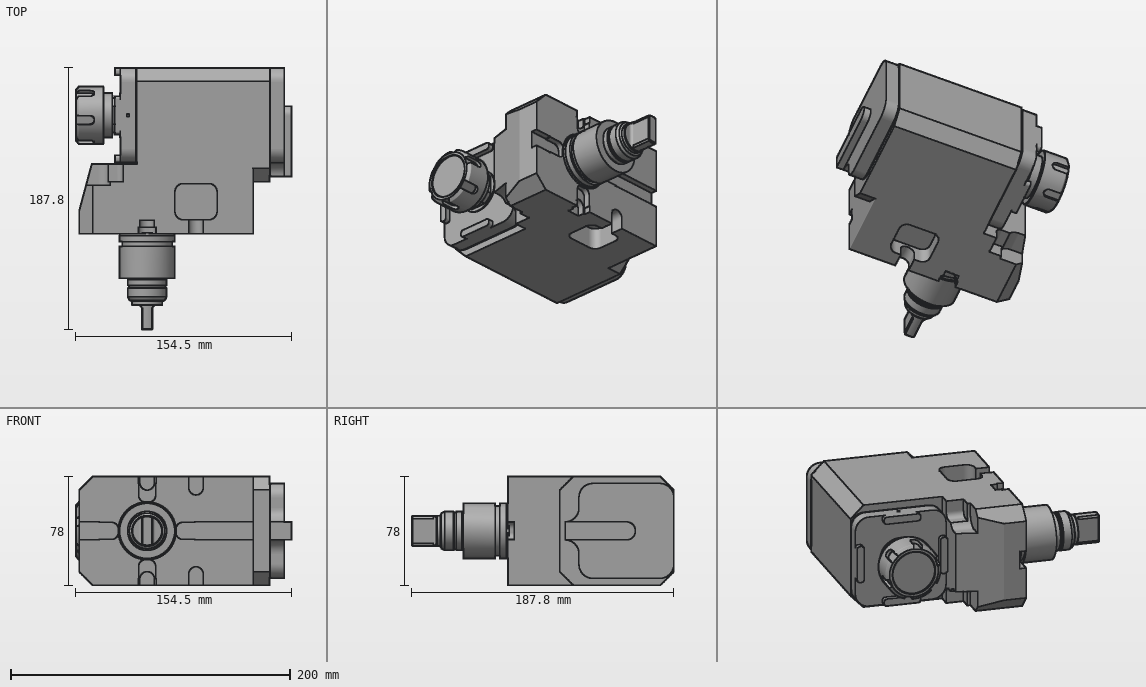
import cadquery as cq


TOTAL_LENGTH = 187.8
WIDTH = 78.0
HALF_WIDTH = WIDTH / 2
SPINDLE_Y = 85.0
COVER_SIDE = 68.0
HALF_COVER = COVER_SIDE / 2
BACK_Y = SPINDLE_Y + HALF_COVER
CORNER_CHAMFER = 9.7

BLOCK_LEFT = -48.7
BLOCK_RIGHT = 76.1
BLOCK_TOP_Y = 37.3
BLOCK_EDGE_FILLET = 0.5
SLANT_START_Y = 16.8
LEDGE_LEFT = -39.7
LEDGE_Y = 50.2

HOUSING_LEFT = -7.3
HOUSING_RIGHT = 87.7

RELIEF_Y = 35.0
RELIEF_FLOOR_Z = 22.2
RELIEF_WALL_X = -26.5
RELIEF_RADIUS = 8.4
STEP_FLOOR_Z = 26.2
STEP_WALL_X = -17.2
STEP_RADIUS = 4.5

KEY_SLOT_WIDTH = 13.0
KEY_SLOT_DEPTH = 4.8
KEY_SLOT_STEP = 34.2
KEY_SLOT_END = 20.7
KEY_SLOT_END_WIDTH = 12.2
KEY_SLOT_END_FILLET = 4.7

SCREW_SLOT_WIDTH = 10.4
SHANK_SLOT_DEPTH = 9.7
SHANK_SLOT_CENTER_Z = 34.4
POCKET_CENTER_X = 35.0
POCKET_LENGTH = 30.2
POCKET_START_Y = 10.1
POCKET_END_Y = 36.1
POCKET_FILLET = 6.0
POCKET_FLOOR_Z = 22.7
POCKET_SLOT_CENTER_Z = 30.9

COVER_FILLET = 10.0
NECK_INSET = 0.6
FRONT_COVER_LEFT = -19.1
FRONT_COVER_RIGHT = -8.3
REAR_COVER_LEFT = 88.3
REAR_COVER_RIGHT = 98.3
TAB_WIDTH = 13.0
TAB_RADIUS = TAB_WIDTH / 2
TAB_END_Y = 41.1
TAB_RIGHT = 103.53
PAD_LEFT = -23.2
PAD_LENGTH = 27.6
PAD_HEIGHT = 5.4
PAD_FILLET = 2.2
OIL_HOLE_DIAMETER = 2.1
OIL_HOLE_DEPTH = 5.0

NUT_LEFT = -51.0
NUT_RIGHT = -31.1
NUT_DIAMETER = 41.5
NUT_FACE_DIAMETER = 36.6
NUT_CONE_LENGTH = 2.0
NUT_CONE_FILLET = 0.6
NUT_BACK_CHAMFER = 0.5
NUT_MOUTH_DIAMETER = 32.34
NUT_BORE_DIAMETER = 31.45
NUT_RECESS_DEPTH = 0.5
NUT_SLOTS = 6
NUT_SLOT_ANGLE = 40.0
NUT_SLOT_WIDTH = 6.37
NUT_SLOT_END = -37.8
NUT_SLOT_FLOOR_DIAMETER = 36.0
SPINDLE_RING_DIAMETER = 32.0
SPINDLE_RING_RIGHT = -24.9
SPINDLE_DIAMETER = 28.0
SPINDLE_FLATS = 25.0
SPINDLE_FLATS_LEFT = -24.5
SEAL_DIAMETER = 31.45
SEAL_LEFT = -19.8

SHANK_DIAMETER = 39.8
SHANK_COLLAR_DIAMETER = 39.9
SHANK_UNDERCUT_DIAMETER = 39.5
SHANK_GROOVE_DIAMETER = 36.0
COLLAR_START = -1.2
GROOVE_START = -5.6
GROOVE_END = -9.0
SHANK_END = -31.8
SHANK_RECESS_DIAMETER = 41.5
SHANK_RECESS_DEPTH = 1.0
COUPLING_DIAMETER = 28.0
COUPLING_NECK_DIAMETER = 25.0
COUPLING_START = -32.8
SEAL_GROOVE_DIAMETER = 26.4
SEAL_GROOVE_START = -36.8
SEAL_GROOVE_END = -39.0
COUPLING_CONE_START = -45.2
COUPLING_CONE_END = -47.5
COUPLING_SHOULDER_END = -48.4
COUPLING_CONE_TIP_DIAMETER = 25.4
COUPLING_END = -51.2
COUPLING_EDGE_CHAMFER = 0.5
TONGUE_DIAMETER = 22.0
TONGUE_THICKNESS = 7.9
TONGUE_END = BACK_Y - TOTAL_LENGTH
TONGUE_CHAMFER = 0.8
TONGUE_FLAT_HALF_WIDTH = 8.8
TONGUE_BEVEL_DEPTH = 0.7
TONGUE_BEVEL_WIDTH = 1.7
TONGUE_ROOT_FILLET = 2.1


def box(x0, x1, y0, y1, z0, z1):
    """Axis-aligned box between opposite corners."""
    return cq.Workplane("XY").box(x1 - x0, y1 - y0, z1 - z0, centered=False).translate((x0, y0, z0))


def spindle_disc(x0, x1, diameter):
    """Cylinder on the spindle axis."""
    return cq.Workplane("YZ", origin=(x0, SPINDLE_Y, 0)).circle(diameter / 2).extrude(x1 - x0)


def both_sides(shape):
    """Shape together with its mirror image about the plane Z = 0."""
    return shape.union(shape.mirror("XY"))


def make_block():
    outline = [
        (BLOCK_LEFT, 0),
        (BLOCK_RIGHT, 0),
        (BLOCK_RIGHT, LEDGE_Y),
        (LEDGE_LEFT, LEDGE_Y),
        (BLOCK_LEFT, SLANT_START_Y),
    ]
    block = cq.Workplane("XY").polyline(outline).close().extrude(HALF_WIDTH, both=True)
    return block.cut(both_sides(make_block_corner())).cut(both_sides(make_ledge_relief()))


def make_block_corner():
    """Chamfer on the upper left edge of the block, below the relief."""
    corner = [
        (BLOCK_LEFT, HALF_WIDTH),
        (BLOCK_LEFT, HALF_WIDTH - CORNER_CHAMFER),
        (BLOCK_LEFT + CORNER_CHAMFER, HALF_WIDTH),
    ]
    return cq.Workplane("XZ").polyline(corner).close().extrude(-RELIEF_Y)


def make_relief_step(y0, floor_z, wall_x, radius):
    """Space above a floor that curves up into a wall facing -X."""
    step = (
        cq.Workplane("XZ", origin=(0, y0, 0))
        .moveTo(BLOCK_LEFT, floor_z)
        .lineTo(wall_x - radius, floor_z)
        .radiusArc((wall_x, floor_z + radius), -radius)
        .lineTo(wall_x, HALF_WIDTH)
        .lineTo(BLOCK_LEFT, HALF_WIDTH)
        .close()
    )
    return step.extrude(y0 - LEDGE_Y)


def make_ledge_relief():
    relief = make_relief_step(RELIEF_Y, RELIEF_FLOOR_Z, RELIEF_WALL_X, RELIEF_RADIUS)
    step = make_relief_step(BLOCK_TOP_Y, STEP_FLOOR_Z, STEP_WALL_X, STEP_RADIUS)
    return relief.union(step)


def make_housing():
    housing = box(HOUSING_LEFT, HOUSING_RIGHT, BLOCK_TOP_Y, BACK_Y, -HALF_WIDTH, HALF_WIDTH)
    housing = housing.edges("|X and >Y").chamfer(CORNER_CHAMFER)
    overhang_corner = [
        (BLOCK_TOP_Y, HALF_WIDTH),
        (BLOCK_TOP_Y, HALF_WIDTH - CORNER_CHAMFER),
        (BLOCK_TOP_Y + CORNER_CHAMFER, HALF_WIDTH),
    ]
    cutter = cq.Workplane("YZ", origin=(BLOCK_RIGHT, 0, 0)).polyline(overhang_corner).close()
    return housing.cut(both_sides(cutter.extrude(HOUSING_RIGHT - BLOCK_RIGHT)))


def make_key_slot():
    """Key slot running along +X, stepped in width, with a rounded end near the shank."""
    reach = BLOCK_RIGHT
    half = KEY_SLOT_WIDTH / 2
    half_end = KEY_SLOT_END_WIDTH / 2
    outer = box(KEY_SLOT_STEP, reach, 0, KEY_SLOT_DEPTH, -half, half)
    inner = box(KEY_SLOT_END, reach, 0, KEY_SLOT_DEPTH, -half_end, half_end)
    inner = inner.edges("|Y and <X").fillet(KEY_SLOT_END_FILLET)
    return outer.union(inner)


def make_screw_slot(x, center_z, depth):
    """Slot open towards +Z with a half-round floor, running along Y."""
    radius = SCREW_SLOT_WIDTH / 2
    slot = box(x - radius, x + radius, 0, depth, center_z, HALF_WIDTH)
    return slot.union(cq.Workplane("XZ", origin=(x, 0, center_z)).circle(radius).extrude(-depth))


def make_pocket():
    half = POCKET_LENGTH / 2
    left = POCKET_CENTER_X - half
    right = POCKET_CENTER_X + half
    pocket = box(left, right, POCKET_START_Y, POCKET_END_Y, POCKET_FLOOR_Z, HALF_WIDTH)
    pocket = pocket.edges("|Z").fillet(POCKET_FILLET)
    slot = make_screw_slot(POCKET_CENTER_X, POCKET_SLOT_CENTER_Z, POCKET_START_Y + POCKET_FILLET)
    return pocket.union(slot)


def make_shank_recess():
    """Shallow ring-shaped recess in the clamping face, around the foot of the shank."""
    ring = cq.Workplane("XZ").circle(SHANK_RECESS_DIAMETER / 2).circle(SHANK_UNDERCUT_DIAMETER / 2)
    return ring.extrude(-SHANK_RECESS_DEPTH)


def make_body():
    body = make_block().union(make_housing())
    for z in (-HALF_WIDTH, HALF_WIDTH):
        edge = cq.selectors.NearestToPointSelector((BLOCK_RIGHT, BLOCK_TOP_Y / 2, z))
        body = body.edges("|Y").edges(edge).fillet(BLOCK_EDGE_FILLET)
    for angle in range(0, 360, 90):
        body = body.cut(make_key_slot().rotate((0, 0, 0), (0, 1, 0), angle))
    shank_slot = make_screw_slot(0, SHANK_SLOT_CENTER_Z, SHANK_SLOT_DEPTH)
    body = body.cut(both_sides(shank_slot)).cut(both_sides(make_pocket()))
    return body.cut(make_shank_recess())


def make_cover_plate(x0, x1, inset=0.0):
    """Square plate with rounded corners, centred on the spindle axis."""
    side = COVER_SIDE - 2 * inset
    plate = cq.Workplane("YZ", origin=(x0, SPINDLE_Y, 0)).rect(side, side).extrude(x1 - x0)
    return plate.edges("|X").fillet(COVER_FILLET)


def make_pads():
    """Four raised pads, one along each edge of the front cover."""
    half = PAD_LENGTH / 2
    pads = None
    for angle in range(0, 360, 90):
        pad = box(PAD_LEFT, FRONT_COVER_LEFT, -half, half, HALF_COVER - PAD_HEIGHT, HALF_COVER)
        pad = pad.edges("|X").fillet(PAD_FILLET)
        pad = pad.rotate((0, 0, 0), (1, 0, 0), angle).translate((0, SPINDLE_Y, 0))
        pads = pad if pads is None else pads.union(pad)
    return pads


def make_front_cover():
    cover = make_cover_plate(FRONT_COVER_LEFT, FRONT_COVER_RIGHT)
    neck = make_cover_plate(FRONT_COVER_RIGHT, HOUSING_LEFT, NECK_INSET)
    hole_x = (FRONT_COVER_LEFT + FRONT_COVER_RIGHT) / 2
    hole = cq.Workplane("XY", origin=(hole_x, SPINDLE_Y, HALF_COVER))
    hole = hole.circle(OIL_HOLE_DIAMETER / 2).extrude(-OIL_HOLE_DEPTH)
    return cover.union(neck).union(make_pads()).cut(hole)


def make_stem(x0, x1, inset=0.0):
    """Extension of the rear cover towards -Y, blended into the plate by concave arcs."""
    half = TAB_RADIUS - inset
    end_y = TAB_END_Y + inset
    plate_y = SPINDLE_Y - HALF_COVER + inset
    blend = plate_y - end_y
    stem = (
        cq.Workplane("YZ", origin=(x0, 0, 0))
        .moveTo(end_y, -half)
        .radiusArc((plate_y, -half - blend), blend)
        .lineTo(plate_y, half + blend)
        .radiusArc((end_y, half), blend)
        .close()
    )
    return stem.extrude(x1 - x0)


def make_rear_cover():
    cover = make_cover_plate(REAR_COVER_LEFT, REAR_COVER_RIGHT)
    cover = cover.union(make_stem(REAR_COVER_LEFT, REAR_COVER_RIGHT))
    neck = make_cover_plate(HOUSING_RIGHT, REAR_COVER_LEFT, NECK_INSET)
    neck = neck.union(make_stem(HOUSING_RIGHT, REAR_COVER_LEFT, NECK_INSET))
    tab = box(REAR_COVER_RIGHT, TAB_RIGHT, TAB_END_Y, SPINDLE_Y, -TAB_RADIUS, TAB_RADIUS)
    tab = tab.union(spindle_disc(REAR_COVER_RIGHT, TAB_RIGHT, TAB_WIDTH))
    return cover.union(neck).union(tab)


def make_nut_slot():
    """Wrench slot at the +Y side of the nut, open towards the nut face."""
    radius = NUT_SLOT_WIDTH / 2
    center_x = NUT_SLOT_END - radius
    floor_y = NUT_SLOT_FLOOR_DIAMETER / 2
    outer_y = NUT_DIAMETER / 2
    slot = box(NUT_LEFT, center_x, floor_y, outer_y, -radius, radius)
    end = cq.Workplane("XZ", origin=(center_x, floor_y, 0)).circle(radius).extrude(floor_y - outer_y)
    return slot.union(end)


def make_nut():
    nut = spindle_disc(NUT_LEFT, NUT_RIGHT, NUT_DIAMETER)
    cone_depth = (NUT_DIAMETER - NUT_FACE_DIAMETER) / 2
    nut = nut.faces("<X").chamfer(NUT_CONE_LENGTH, cone_depth)
    cone_edge = cq.selectors.NearestToPointSelector((NUT_LEFT + NUT_CONE_LENGTH, SPINDLE_Y, 0))
    nut = nut.edges(cone_edge).fillet(NUT_CONE_FILLET)
    nut = nut.faces(">X").edges().chamfer(NUT_BACK_CHAMFER)
    mouth_chamfer = (NUT_MOUTH_DIAMETER - NUT_BORE_DIAMETER) / 2
    recess = spindle_disc(NUT_LEFT, NUT_LEFT + NUT_RECESS_DEPTH, NUT_MOUTH_DIAMETER)
    recess = recess.faces(">X").edges().chamfer(mouth_chamfer)
    nut = nut.cut(recess)
    for index in range(NUT_SLOTS):
        angle = NUT_SLOT_ANGLE + index * 360 / NUT_SLOTS
        slot = make_nut_slot().rotate((0, 0, 0), (1, 0, 0), angle)
        nut = nut.cut(slot.translate((0, SPINDLE_Y, 0)))
    return nut


def make_spindle():
    ring = spindle_disc(NUT_RIGHT, SPINDLE_RING_RIGHT, SPINDLE_RING_DIAMETER)
    shaft = spindle_disc(SPINDLE_RING_RIGHT, FRONT_COVER_LEFT, SPINDLE_DIAMETER)
    flats = cq.Workplane("YZ", origin=(SPINDLE_FLATS_LEFT, SPINDLE_Y, 0))
    flats = flats.rect(SPINDLE_FLATS, SPINDLE_FLATS).extrude(FRONT_COVER_LEFT - SPINDLE_FLATS_LEFT)
    collar = spindle_disc(SPINDLE_RING_RIGHT, SPINDLE_FLATS_LEFT, SPINDLE_DIAMETER)
    seal = spindle_disc(SEAL_LEFT, FRONT_COVER_LEFT, SEAL_DIAMETER)
    return ring.union(shaft.intersect(flats.union(collar))).union(seal)


def make_shank():
    """Stepped round shank turned about the Y axis."""
    undercut = SHANK_UNDERCUT_DIAMETER / 2
    collar = SHANK_COLLAR_DIAMETER / 2
    groove = SHANK_GROOVE_DIAMETER / 2
    shank = SHANK_DIAMETER / 2
    neck = COUPLING_NECK_DIAMETER / 2
    coupling = COUPLING_DIAMETER / 2
    seal_groove = SEAL_GROOVE_DIAMETER / 2
    seal_groove_depth = coupling - seal_groove
    cone_tip = COUPLING_CONE_TIP_DIAMETER / 2
    tongue = TONGUE_DIAMETER / 2
    profile = [
        (0, 0),
        (undercut, 0),
        (undercut, COLLAR_START),
        (collar, COLLAR_START),
        (collar, GROOVE_START),
        (groove, GROOVE_START),
        (groove, GROOVE_END),
        (shank, GROOVE_END),
        (shank, SHANK_END),
        (neck, SHANK_END),
        (neck, COUPLING_START),
        (coupling, COUPLING_START),
        (coupling, SEAL_GROOVE_START),
        (seal_groove, SEAL_GROOVE_START),
        (seal_groove, SEAL_GROOVE_END + seal_groove_depth),
        (coupling, SEAL_GROOVE_END),
        (coupling, COUPLING_CONE_START),
        (cone_tip, COUPLING_CONE_END),
        (tongue, COUPLING_SHOULDER_END),
        (tongue, COUPLING_END + COUPLING_EDGE_CHAMFER),
        (tongue - COUPLING_EDGE_CHAMFER, COUPLING_END),
        (0, COUPLING_END),
    ]
    return cq.Workplane("XY").polyline(profile).close().revolve(360, (0, 0, 0), (0, 1, 0))


def make_beveled_bar():
    """Bar with the cross-section of the tongue, its long edges bevelled."""
    half = TONGUE_THICKNESS / 2
    edge_x = half - TONGUE_BEVEL_DEPTH
    edge_z = TONGUE_FLAT_HALF_WIDTH + TONGUE_BEVEL_WIDTH
    section = [
        (half, TONGUE_FLAT_HALF_WIDTH),
        (edge_x, edge_z),
        (edge_x, TONGUE_DIAMETER / 2),
        (-edge_x, TONGUE_DIAMETER / 2),
        (-edge_x, edge_z),
        (-half, TONGUE_FLAT_HALF_WIDTH),
    ]
    upper = cq.Workplane("XZ", origin=(0, COUPLING_END, 0)).polyline(section + [(-half, 0), (half, 0)])
    upper = upper.close().extrude(COUPLING_END - TONGUE_END)
    return both_sides(upper)


def make_tongue():
    """Drive tongue: a flat cut from a round bar, with fillets at its root."""
    half = TONGUE_THICKNESS / 2
    root = half + TONGUE_ROOT_FILLET
    bar = cq.Workplane("XZ", origin=(0, COUPLING_END, 0)).circle(TONGUE_DIAMETER / 2)
    bar = bar.extrude(COUPLING_END - TONGUE_END).faces("<Y").edges().chamfer(TONGUE_CHAMFER)
    flat = (
        cq.Workplane("XY")
        .moveTo(root, COUPLING_END)
        .radiusArc((half, COUPLING_END - TONGUE_ROOT_FILLET), -TONGUE_ROOT_FILLET)
        .lineTo(half, TONGUE_END + TONGUE_CHAMFER)
        .lineTo(half - TONGUE_CHAMFER, TONGUE_END)
        .lineTo(TONGUE_CHAMFER - half, TONGUE_END)
        .lineTo(-half, TONGUE_END + TONGUE_CHAMFER)
        .lineTo(-half, COUPLING_END - TONGUE_ROOT_FILLET)
        .radiusArc((-root, COUPLING_END), -TONGUE_ROOT_FILLET)
        .close()
        .extrude(TONGUE_DIAMETER / 2, both=True)
    )
    root_zone = box(
        -root, root, COUPLING_END - TONGUE_ROOT_FILLET, COUPLING_END, -TONGUE_DIAMETER, TONGUE_DIAMETER
    )
    return bar.intersect(flat).intersect(make_beveled_bar().union(root_zone))


result = make_body()
for component in (
    make_front_cover(),
    make_rear_cover(),
    make_nut(),
    make_spindle(),
    make_shank(),
    make_tongue(),
):
    result = result.union(component)